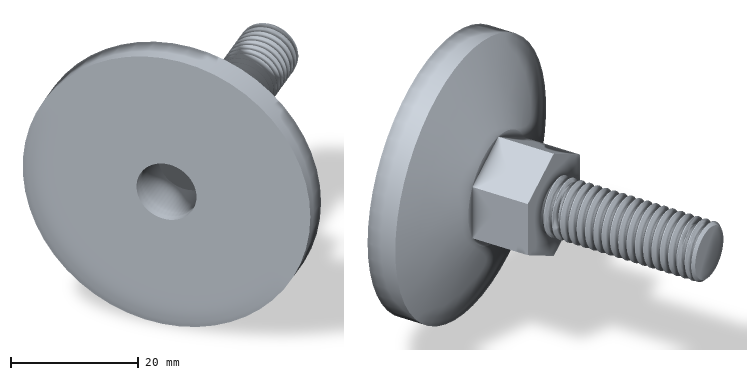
import cadquery as cq
import math

base_diameter = 48.0
base_thickness = 5.0
cone_height = 5.0
hex_height = 10.0
total_length = 48.1
hex_across_flats = 16.55
hex_corner_diameter = hex_across_flats / math.cos(math.radians(30))
cone_top_diameter = hex_corner_diameter
hole_diameter = 10.0
hole_depth = base_thickness + cone_height

major_diameter = 10.0
minor_diameter = 8.15
pitch = major_diameter * 3 / 20
crest_width = 0.1
flank_angle = 30.0
tip_diameter = 9.85
tip_thickness = 0.5
tip_chamfer = 0.45
tip_gap = 0.05
root_overlap = 0.1
hidden_length = 1.95
core_seam_angle = 140.0
thread_turns = 21

cone_top = base_thickness + cone_height
hex_top = cone_top + hex_height


def make_foot():
    """Revolve the disc and cone about the Z axis."""
    base_radius = base_diameter / 2
    return (
        cq.Workplane("XZ")
        .lineTo(base_radius, 0)
        .lineTo(base_radius, base_thickness)
        .lineTo(cone_top_diameter / 2, cone_top)
        .lineTo(0, cone_top)
        .close()
        .revolve(360, (0, 0, 0), (0, 1, 0))
    )


def make_hexagon():
    """Hexagonal prism with its flats facing +X and -X."""
    return (
        cq.Workplane("XY")
        .workplane(offset=cone_top)
        .polygon(6, hex_corner_diameter)
        .extrude(hex_height)
        .rotate((0, 0, 0), (0, 0, 1), 30)
    )


def make_core():
    """Thread core with a thin chamfered disc that closes the end of the thread."""
    core_radius = minor_diameter / 2
    tip_radius = tip_diameter / 2
    tip_bottom = total_length - tip_thickness
    return (
        cq.Workplane("XZ")
        .moveTo(0, cone_top)
        .lineTo(core_radius, cone_top)
        .lineTo(core_radius, tip_bottom)
        .lineTo(tip_radius, tip_bottom)
        .lineTo(tip_radius, total_length - tip_chamfer)
        .lineTo(tip_radius - tip_chamfer, total_length)
        .lineTo(0, total_length)
        .close()
        .revolve(360, (0, 0, 0), (0, 1, 0))
        .rotate((0, 0, 0), (0, 0, 1), core_seam_angle)
    )


def make_ridge():
    """Helical ridge of the thread, cut off just below the chamfered tip disc."""
    thread_start = hex_top - hidden_length
    root_radius = minor_diameter / 2 - root_overlap
    crest_radius = major_diameter / 2
    half_crest = crest_width / 2
    ridge_height = crest_radius - root_radius
    half_root = half_crest + ridge_height * math.tan(math.radians(flank_angle))

    helix = cq.Wire.makeHelix(pitch, thread_turns * pitch, root_radius)
    ridge = (
        cq.Workplane("XZ")
        .moveTo(root_radius, -half_root)
        .lineTo(crest_radius, -half_crest)
        .lineTo(crest_radius, half_crest)
        .lineTo(root_radius, half_root)
        .close()
        .sweep(cq.Workplane(obj=helix), isFrenet=True)
        .translate((0, 0, thread_start))
    )
    trim_clearance = 0.05
    blank_bottom = hex_top - pitch / 2
    blank = (
        cq.Workplane("XY")
        .workplane(offset=blank_bottom)
        .circle(crest_radius + trim_clearance)
        .extrude(total_length - tip_thickness - tip_gap - blank_bottom)
    )
    return ridge.intersect(blank)


socket = cq.Workplane("XY").circle(hole_diameter / 2).extrude(hole_depth)

upright = make_foot().union(make_hexagon()).cut(socket).union(make_core()).union(make_ridge())

result = upright.rotate((0, 0, 0), (1, 0, 0), -90)